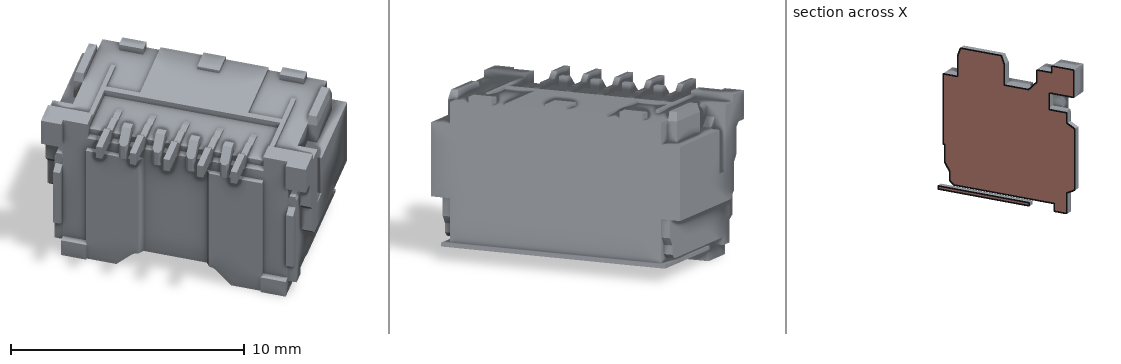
import cadquery as cq
import math

OUTER_X = 5.9
WALL_X = 5.0
POCKET_X = 3.92
FRONT_Y = 1.36
REAR_Y = 7.39
BOTTOM_Z = 0.81
ROOF_Z = 6.95
RAISED_Z = 7.1
CORNER_Z = 7.26
PIN_TOP_Z = 7.3
SHOULDER_Z = 5.98
PITCH = 1.5
PIN_COUNT = 5


def box(x, y, z):
    """Box from three (low, high) pairs."""
    return cq.Workplane("XY").box(
        x[1] - x[0], y[1] - y[0], z[1] - z[0], centered=False
    ).translate((x[0], y[0], z[0]))


def extrude_x(points, x0, x1):
    """Prism along X from a (y, z) outline."""
    return cq.Workplane("YZ", origin=(x0, 0, 0)).polyline(points).close().extrude(x1 - x0)


def extrude_y(points, y0, y1):
    """Prism along Y from an (x, z) outline."""
    return cq.Workplane("XZ", origin=(0, y0, 0)).polyline(points).close().extrude(y0 - y1)


def extrude_z(points, z0, z1):
    """Prism along Z from an (x, y) outline."""
    return cq.Workplane("XY", origin=(0, 0, z0)).polyline(points).close().extrude(z1 - z0)


POCKET_REAR_Y = 3.95
POCKET_FLOOR_Z = 6.8
LEDGE_Y = 1.66
LEDGE_Z = 6.49
CORNER_REAR_Y = 2.15


def housing_core():
    """Central block with the raised roof, its ribs and the stepped pocket."""
    rib_x = 4.12
    rib_rear_y = 5.69
    bar_rear_y = 4.22
    panel_x = 2.41
    roof = (ROOF_Z, RAISED_Z)
    core = box((-WALL_X, WALL_X), (FRONT_Y, REAR_Y), (BOTTOM_Z, ROOF_Z))
    core = core.union(box((-panel_x, panel_x), (POCKET_REAR_Y, REAR_Y), roof))
    core = core.union(box((-POCKET_X, POCKET_X), (POCKET_REAR_Y, bar_rear_y), roof))
    for side in (-1, 1):
        rib_faces = sorted((side * POCKET_X, side * rib_x))
        core = core.union(box(rib_faces, (CORNER_REAR_Y, rib_rear_y), roof))
    span = (-POCKET_X, POCKET_X)
    core = core.cut(box(span, (FRONT_Y, POCKET_REAR_Y), (POCKET_FLOOR_Z, CORNER_Z)))
    return core.cut(box(span, (FRONT_Y, LEDGE_Y), (LEDGE_Z, CORNER_Z)))


CENTER_PAD_X = 0.5
CENTER_PAD_Y = 6.41
SIDE_PAD_X = (3.03, 4.12)
SIDE_PAD_Y = 6.88


def center_pad():
    return box((-CENTER_PAD_X, CENTER_PAD_X), (CENTER_PAD_Y, REAR_Y), (ROOF_Z, CORNER_Z))


def side_pad():
    return box(SIDE_PAD_X, (SIDE_PAD_Y, REAR_Y), (ROOF_Z, CORNER_Z))


CORNER_FRONT_Y = 1.05
PANEL_Y = 1.13


def front_corner():
    """Raised corner: a column beside the pocket and an outer block further forward."""
    column = box((POCKET_X, WALL_X), (FRONT_Y, CORNER_REAR_Y), (SHOULDER_Z, CORNER_Z))
    block = box((WALL_X, OUTER_X), (CORNER_FRONT_Y, CORNER_REAR_Y), (SHOULDER_Z, CORNER_Z))
    return column.union(block)


def front_panel():
    """Raised panel on the front face with a slanted inner edge."""
    slant_top_x = 1.57
    slant_base_x = 1.4
    outline = [
        (slant_base_x, FRONT_Y),
        (slant_top_x, PANEL_Y),
        (POCKET_X, PANEL_Y),
        (POCKET_X, FRONT_Y),
    ]
    return extrude_z(outline, 0, SHOULDER_Z)


def foot():
    """Lip under the front edge with a forward block at its outer end."""
    block_x = 3.88
    rear_y = 2.68
    chamfer = 0.2
    profile = [
        (FRONT_Y, 0),
        (rear_y, 0),
        (rear_y, BOTTOM_Z - chamfer),
        (rear_y + chamfer, BOTTOM_Z),
        (FRONT_Y, BOTTOM_Z),
    ]
    lip = extrude_x(profile, 0, WALL_X)
    return lip.union(box((block_x, WALL_X), (CORNER_FRONT_Y, FRONT_Y), (0, BOTTOM_Z)))


def foot_notch():
    """Trapezoid gap between the feet, its 45 degree sides rounding into the top."""
    base_x = 2.56
    radius = 0.5
    diagonal = math.sqrt(0.5)
    arc_z = BOTTOM_Z - radius * (1 - diagonal)
    arc_x = base_x - arc_z
    top_x = arc_x - radius * diagonal
    middle_x = top_x + radius * math.sin(math.pi / 8)
    middle_z = BOTTOM_Z - radius * (1 - math.cos(math.pi / 8))
    return (
        cq.Workplane("XZ")
        .moveTo(-base_x, 0)
        .lineTo(-arc_x, arc_z)
        .threePointArc((-middle_x, middle_z), (-top_x, BOTTOM_Z))
        .lineTo(top_x, BOTTOM_Z)
        .threePointArc((middle_x, middle_z), (arc_x, arc_z))
        .lineTo(base_x, 0)
        .close()
        .extrude(-REAR_Y)
    )


FLANGE_BOTTOM_Z = 2.74
TAB_X = 5.43
CLIP_X = 5.39
CLIP_REAR_Y = 2.25
SLOT_FRONT_Y = 2.87


def side_flange():
    """Stepped flange on the side wall, with a slot and a ramp behind the front corner."""
    slot_rear_y = 3.48
    slot_inner_y = 3.26
    slot_floor_z = 4.02
    slot_chamfer_x = 5.58
    ramp_top_z = 6.38
    upper_edge_y = 1.78
    upper_edge_z = (4.6, 5.79)
    lower_edge_y = 2.05
    lower_edge_z = (3.05, 4.28)
    top_edge_y = 1.57
    bottom_edge_y = 2.35
    profile = [
        (top_edge_y, SHOULDER_Z),
        (upper_edge_y, upper_edge_z[1]),
        (upper_edge_y, upper_edge_z[0]),
        (lower_edge_y, lower_edge_z[1]),
        (lower_edge_y, lower_edge_z[0]),
        (bottom_edge_y, FLANGE_BOTTOM_Z),
        (REAR_Y, FLANGE_BOTTOM_Z),
        (REAR_Y, SHOULDER_Z),
    ]
    flange = extrude_x(profile, TAB_X, OUTER_X)
    web = box((WALL_X, TAB_X), (CLIP_REAR_Y, REAR_Y), (FLANGE_BOTTOM_Z, SHOULDER_Z))
    shoulder = box((WALL_X, OUTER_X), (CORNER_REAR_Y, SLOT_FRONT_Y), (SHOULDER_Z, ROOF_Z))
    slot_outline = [
        (CLIP_X, SLOT_FRONT_Y),
        (OUTER_X, SLOT_FRONT_Y),
        (OUTER_X, slot_rear_y),
        (slot_chamfer_x, slot_rear_y),
        (CLIP_X, slot_inner_y),
    ]
    slot = extrude_z(slot_outline, slot_floor_z, SHOULDER_Z)
    ramp_profile = [
        (SLOT_FRONT_Y, SHOULDER_Z),
        (slot_inner_y, SHOULDER_Z),
        (SLOT_FRONT_Y, ramp_top_z),
    ]
    ramp = extrude_x(ramp_profile, WALL_X, CLIP_X)
    return flange.union(web).union(shoulder).cut(slot).union(ramp)


def side_clip():
    """Plate along the side wall with a forward blade."""
    front_y = 1.39
    top_z = 5.33
    bottom_z = 0.61
    heel_y = 2.02
    arm_bottom_z = 0.97
    arm_rear_y = 7.08
    arm_chamfer_y, arm_chamfer_z = 0.2, 0.19
    tail_y = 7.3
    tail_slope_z = (1.57, 1.92)
    taper_x = 0.07
    taper_z = 0.19
    profile = [
        (front_y, bottom_z),
        (heel_y, bottom_z),
        (heel_y, arm_bottom_z),
        (arm_rear_y - arm_chamfer_y, arm_bottom_z),
        (arm_rear_y, arm_bottom_z + arm_chamfer_z),
        (arm_rear_y, tail_slope_z[0]),
        (tail_y, tail_slope_z[1]),
        (tail_y, FLANGE_BOTTOM_Z),
        (CLIP_REAR_Y, FLANGE_BOTTOM_Z),
        (CLIP_REAR_Y, top_z),
        (front_y, top_z),
    ]
    plate = extrude_x(profile, WALL_X, CLIP_X)
    section = [
        (WALL_X, bottom_z),
        (CLIP_X, bottom_z),
        (CLIP_X, top_z - taper_z),
        (CLIP_X - taper_x, top_z),
        (WALL_X + taper_x, top_z),
        (WALL_X, top_z - taper_z),
    ]
    plate = plate.intersect(extrude_y(section, front_y, REAR_Y))
    blade_tip_y = 1.01
    blade_x = (5.04, 5.35)
    blade_base_z = (1.57, 4.77)
    blade_tip_z = (1.76, 4.57)
    blade_profile = [
        (front_y, blade_base_z[0]),
        (blade_tip_y, blade_tip_z[0]),
        (blade_tip_y, blade_tip_z[1]),
        (front_y, blade_base_z[1]),
    ]
    return plate.union(extrude_x(blade_profile, *blade_x))


def side_tab():
    """Upright tab on top of the flange, tapered near its top."""
    front_y, rear_y = 4.41, 6.69
    taper_z = 6.91
    taper_y = 0.14
    taper_x = 0.07
    profile = [
        (front_y, SHOULDER_Z),
        (rear_y, SHOULDER_Z),
        (rear_y, taper_z),
        (rear_y - taper_y, PIN_TOP_Z),
        (front_y + taper_y, PIN_TOP_Z),
        (front_y, taper_z),
    ]
    section = [
        (WALL_X, SHOULDER_Z),
        (TAB_X, SHOULDER_Z),
        (TAB_X, taper_z),
        (TAB_X - taper_x, PIN_TOP_Z),
        (WALL_X, PIN_TOP_Z),
    ]
    return extrude_x(profile, WALL_X, TAB_X).intersect(extrude_y(section, front_y, rear_y))


def base_strip():
    """Thin strip under the housing, reaching past the rear face."""
    half_width = 5.31
    front_y, rear_y = 3.21, 7.63
    thickness = 0.17
    return box((-half_width, half_width), (front_y, rear_y), (BOTTOM_Z - thickness, BOTTOM_Z))


def pin(center_x):
    """Cranked pin that steps down from the front bar to the pocket floor."""
    width = 0.27
    bar_bottom_z = 6.68
    bar_rear_y = 1.25
    bar_bottom_rear_y = 1.0
    upper_z, upper_front_y, upper_rear_y = 7.02, 1.51, 2.36
    lower_z, lower_rear_y = 6.91, 2.9
    tip_y = 3.33
    profile = [
        (0, bar_bottom_z),
        (0, PIN_TOP_Z),
        (bar_rear_y, PIN_TOP_Z),
        (upper_front_y, upper_z),
        (upper_rear_y, upper_z),
        (upper_rear_y, lower_z),
        (lower_rear_y, lower_z),
        (tip_y, POCKET_FLOOR_Z),
        (LEDGE_Y, POCKET_FLOOR_Z),
        (LEDGE_Y, LEDGE_Z),
        (FRONT_Y, LEDGE_Z),
        (bar_bottom_rear_y, bar_bottom_z),
    ]
    return extrude_x(profile, center_x - width / 2, center_x + width / 2)


def contact(center_x):
    """Block between two pins, with a 45 degree front and a chamfered nose below."""
    half_width = 0.2
    rear_y = 1.94
    crest_y = 1.63
    nose_half_width = 0.1
    nose_chamfer_y = 0.1
    nose_top_z = CORNER_Z - (crest_y - CORNER_FRONT_Y)
    profile = [
        (CORNER_FRONT_Y, SHOULDER_Z),
        (CORNER_FRONT_Y, nose_top_z),
        (crest_y, CORNER_Z),
        (rear_y, CORNER_Z),
        (rear_y, SHOULDER_Z),
    ]
    outline = [
        (center_x - half_width, rear_y),
        (center_x - half_width, CORNER_FRONT_Y + nose_chamfer_y),
        (center_x - nose_half_width, CORNER_FRONT_Y),
        (center_x + nose_half_width, CORNER_FRONT_Y),
        (center_x + half_width, CORNER_FRONT_Y + nose_chamfer_y),
        (center_x + half_width, rear_y),
    ]
    side = extrude_x(profile, center_x - half_width, center_x + half_width)
    return side.intersect(extrude_z(outline, SHOULDER_Z, CORNER_Z))


def assemble():
    body = housing_core().union(center_pad())
    features = (side_pad, front_corner, front_panel, foot, side_flange, side_clip, side_tab)
    for feature in features:
        half = feature()
        body = body.union(half).union(half.mirror("YZ"))
    body = body.cut(foot_notch()).union(base_strip())

    first_pin_x = -PITCH * (PIN_COUNT - 1) / 2
    for index in range(PIN_COUNT):
        body = body.union(pin(first_pin_x + index * PITCH))
    for index in range(PIN_COUNT - 1):
        body = body.union(contact(first_pin_x + (index + 0.5) * PITCH))
    return body


result = assemble()